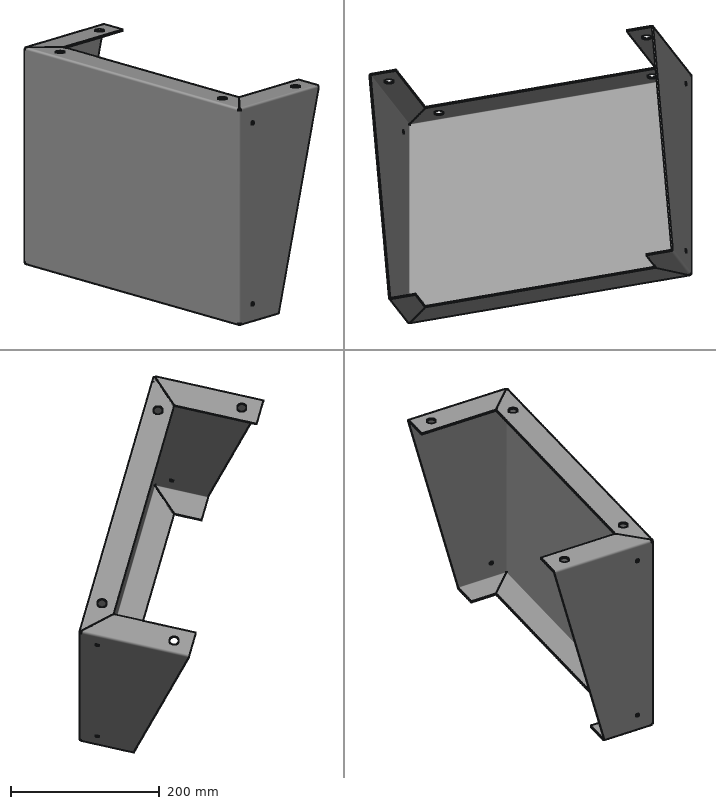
import cadquery as cq
import math

WIDTH = 406.5
TOP_DEPTH = 152.5
HEIGHT = 305.0
BOTTOM_DEPTH = TOP_DEPTH / 2

THICKNESS = 2.5
INNER_RADIUS = 1.0
BEND_RADIUS = INNER_RADIUS + THICKNESS
FLANGE_WIDTH = 38.0
MITRE_GAP = 0.5

FLANGE_HOLE_DIAMETER = 12.5
SIDE_HOLE_DIAMETER = 5.3
HOLE_EDGE_DISTANCE = TOP_DEPTH / 6
FRONT_HOLE_INSET = 51.0
FLANGE_CENTRE = FLANGE_WIDTH / 2


def rounded_block(inset, radius):
    """Block with rounded front, top and bottom edges, set in from the outer faces and open-ended at the rear."""
    return (
        cq.Workplane("XY")
        .box(WIDTH - 2 * inset, 2 * TOP_DEPTH, HEIGHT - 2 * inset, centered=(True, False, False))
        .translate((0, inset, inset))
        .edges("|Y or <Y")
        .fillet(radius)
    )


def side_profile():
    """Prism across the full width whose rear edge slopes between the two flange bends."""
    return (
        cq.Workplane("YZ")
        .polyline([
            (0, 0),
            (BOTTOM_DEPTH, 0),
            (BOTTOM_DEPTH, BEND_RADIUS),
            (TOP_DEPTH, HEIGHT - BEND_RADIUS),
            (TOP_DEPTH, HEIGHT),
            (0, HEIGHT),
        ])
        .close()
        .extrude(WIDTH / 2, both=True)
    )


def flange_opening():
    """Space between the flanges, running through the top and the bottom."""
    return (
        cq.Workplane("XY")
        .box(WIDTH - 2 * FLANGE_WIDTH, TOP_DEPTH, HEIGHT, centered=(True, False, False))
        .translate((0, FLANGE_WIDTH, 0))
    )


def mitre_cut(side):
    """Narrow 45 degree slit between the front and side flanges, ending at the bends of one side."""
    end = FLANGE_WIDTH + MITRE_GAP
    half_gap = MITRE_GAP / math.sqrt(2)
    x_start = side * (WIDTH / 2 - BEND_RADIUS)
    x_end = side * (WIDTH / 2 - end)
    slit = (
        cq.Workplane("XY")
        .polyline([
            (x_start, BEND_RADIUS - half_gap),
            (x_start, BEND_RADIUS + half_gap),
            (x_end, end + half_gap),
            (x_end, end - half_gap),
        ])
        .close()
        .extrude(THICKNESS)
    )
    return slit.union(slit.translate((0, 0, HEIGHT - THICKNESS)))


def corner_reliefs():
    """Open cubes at the four front corners, where the three bends end without meeting."""
    half = BEND_RADIUS / 2
    centres = [(side * (WIDTH / 2 - half), half, z) for side in (-1, 1) for z in (half, HEIGHT - half)]
    return cq.Workplane("XY").pushPoints(centres).box(BEND_RADIUS, BEND_RADIUS, BEND_RADIUS)


def flange_holes():
    """Vertical holes through the top flanges only."""
    rear_x = WIDTH / 2 - FLANGE_CENTRE
    rear_y = TOP_DEPTH - HOLE_EDGE_DISTANCE
    front_x = WIDTH / 2 - FRONT_HOLE_INSET
    centres = [(side * x, y) for side in (-1, 1) for x, y in ((rear_x, rear_y), (front_x, FLANGE_CENTRE))]
    return (
        cq.Workplane("XY", origin=(0, 0, HEIGHT - THICKNESS))
        .pushPoints(centres)
        .circle(FLANGE_HOLE_DIAMETER / 2)
        .extrude(THICKNESS)
    )


def side_holes():
    """Small holes through both side walls, near the front at top and bottom."""
    centres = [(HOLE_EDGE_DISTANCE, z) for z in (HOLE_EDGE_DISTANCE, HEIGHT - HOLE_EDGE_DISTANCE)]
    return (
        cq.Workplane("YZ")
        .pushPoints(centres)
        .circle(SIDE_HOLE_DIAMETER / 2)
        .extrude(WIDTH / 2, both=True)
    )


shell = rounded_block(0, BEND_RADIUS).cut(rounded_block(THICKNESS, INNER_RADIUS))
result = shell.intersect(side_profile()).cut(flange_opening())
for side in (-1, 1):
    result = result.cut(mitre_cut(side))
result = result.cut(corner_reliefs()).cut(flange_holes()).cut(side_holes())